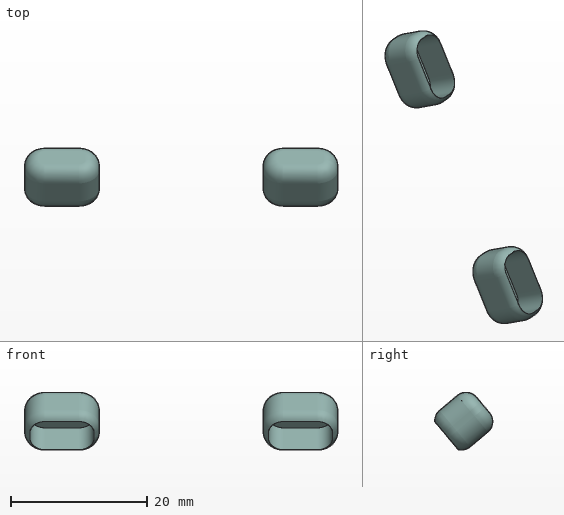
import cadquery as cq

cap_width = 11.0
cap_height = 7.0
corner_radius = 3.0
end_rounding = 2.0
straight_length = 3.4
wall = 0.8
cavity_depth = 5.0
cap_pitch = 35.0
tilt = 40.0

full_length = straight_length + 2 * end_rounding
rim_reach = (end_rounding**2 - (end_rounding - wall)**2) ** 0.5
rim_position = end_rounding + straight_length + rim_reach
cavity_floor = rim_position - cavity_depth


def rounded_bar(width, height, radius, start, end):
    """Bar along +Z from start to end with a rounded rectangular profile."""
    return (
        cq.Workplane("XY", origin=(0, 0, start))
        .rect(width, height)
        .extrude(end - start)
        .edges("|Z")
        .fillet(radius)
    )


def make_cap(x_position):
    """Hollow cap, closed toward +Y and +Z, open toward -Y and -Z."""
    outer = rounded_bar(cap_width, cap_height, corner_radius, 0, full_length)
    outer = outer.faces("<Z or >Z").edges().fillet(end_rounding)

    cavity = rounded_bar(
        cap_width - 2 * wall,
        cap_height - 2 * wall,
        corner_radius - wall,
        cavity_floor,
        full_length,
    )
    cap = outer.cut(cavity)

    cap = cap.translate((0, 0, -full_length / 2))
    cap = cap.rotate((0, 0, 0), (1, 0, 0), 90 + tilt)
    return cap.translate((x_position, 0, 0))


caps = [make_cap(side * cap_pitch / 2) for side in (-1, 1)]

result = cq.Compound.makeCompound([cap.val() for cap in caps])